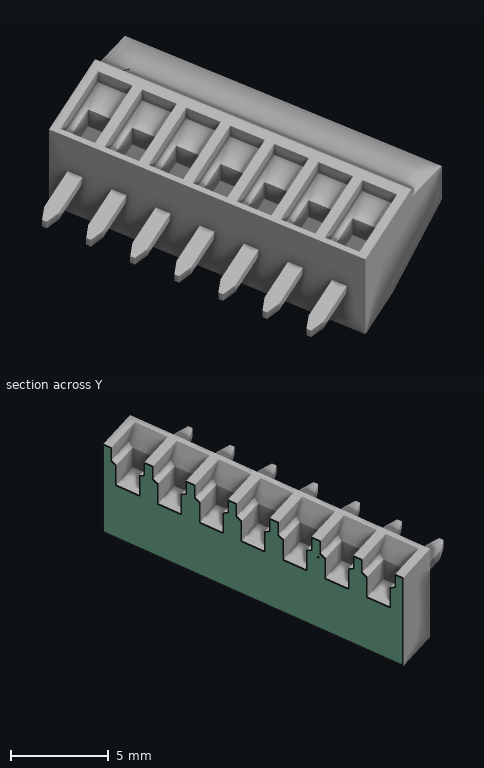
import cadquery as cq
import math

POLES = 7
PITCH = 2.54
BODY_LENGTH = 18.23
BODY_HEIGHT = 6.27
BODY_DEPTH = 8.5

STEP_Y = 5.2
STEP_Z = 5.57
ROOF_ANGLE = 20.0
UNDERSIDE_FLAT = 3.0
UNDERSIDE_ANGLE = 15.5
EDGE_RADIUS = 0.2

PIN_WIDTH = 0.85
PIN_THICKNESS = 0.55
PIN_LENGTH = 3.4
PIN_TIP_WIDTH = 0.27
PIN_TAPER_LENGTH = 0.8
PIN_Z = BODY_HEIGHT / 2

MOUTH_WIDTH = 2.0
MOUTH_FRONT = 0.3
MOUTH_BACK = 4.47
MOUTH_DEPTH = 0.9
FUNNEL_DROP = 0.19
SHAFT_WIDTH = 1.4
SHAFT_FRONT = 1.0
SHAFT_BACK = 2.8
SHAFT_DEPTH = 2.5

MARK_WIDTH = 0.52
MARK_HEIGHT = 0.48
MARK_BASE_Y = 5.64
MARK_DEPTH = 0.1


def pole_positions():
    first = -PITCH * (POLES - 1) / 2
    return [first + PITCH * index for index in range(POLES)]


def roof_z(y):
    return STEP_Z - (y - STEP_Y) * math.tan(math.radians(ROOF_ANGLE))


def make_housing():
    underside_rise = (BODY_DEPTH - UNDERSIDE_FLAT) * math.tan(math.radians(UNDERSIDE_ANGLE))
    outline = [
        (0, 0),
        (UNDERSIDE_FLAT, 0),
        (BODY_DEPTH, underside_rise),
        (BODY_DEPTH, roof_z(BODY_DEPTH)),
        (STEP_Y, STEP_Z),
        (STEP_Y, BODY_HEIGHT),
        (0, BODY_HEIGHT),
    ]
    housing = cq.Workplane("YZ").polyline(outline).close().extrude(BODY_LENGTH / 2, both=True)
    back_edges = housing.faces(">Y").edges("|X")
    step_edge = housing.faces(">Z").edges(">Y")
    return housing.newObject(back_edges.vals() + step_edge.vals()).edges().fillet(EDGE_RADIUS)


def rectangle(x_size, y_front, y_back, z):
    y_center = (y_front + y_back) / 2
    return cq.Workplane("XY", origin=(0, y_center, z)).rect(x_size, y_back - y_front)


def make_opening():
    funnel_top = BODY_HEIGHT - MOUTH_DEPTH
    shaft_top = funnel_top - FUNNEL_DROP
    shaft_floor = BODY_HEIGHT - SHAFT_DEPTH

    run_per_depth = (SHAFT_FRONT - MOUTH_FRONT) / (MOUTH_DEPTH + FUNNEL_DROP)
    funnel_front = MOUTH_FRONT + MOUTH_DEPTH * run_per_depth
    mouth_outline = [
        (MOUTH_FRONT, BODY_HEIGHT),
        (funnel_front, funnel_top),
        (MOUTH_BACK, funnel_top),
        (MOUTH_BACK, BODY_HEIGHT),
    ]
    mouth = cq.Workplane("YZ").polyline(mouth_outline).close().extrude(MOUTH_WIDTH / 2, both=True)
    funnel = (
        rectangle(MOUTH_WIDTH, funnel_front, MOUTH_BACK, funnel_top)
        .workplane(offset=-FUNNEL_DROP)
        .center(0, (SHAFT_FRONT + SHAFT_BACK - funnel_front - MOUTH_BACK) / 2)
        .rect(SHAFT_WIDTH, SHAFT_BACK - SHAFT_FRONT)
        .loft(ruled=True)
    )
    shaft = rectangle(SHAFT_WIDTH, SHAFT_FRONT, SHAFT_BACK, shaft_floor).extrude(shaft_top - shaft_floor)
    return mouth.union(funnel).union(shaft)


def make_pin():
    shoulder_y = PIN_TAPER_LENGTH - PIN_LENGTH
    outline = [
        (-PIN_WIDTH / 2, 0),
        (-PIN_WIDTH / 2, shoulder_y),
        (-PIN_TIP_WIDTH / 2, -PIN_LENGTH),
        (PIN_TIP_WIDTH / 2, -PIN_LENGTH),
        (PIN_WIDTH / 2, shoulder_y),
        (PIN_WIDTH / 2, 0),
    ]
    plane = cq.Workplane("XY", origin=(0, 0, PIN_Z))
    return plane.polyline(outline).close().extrude(PIN_THICKNESS / 2, both=True)


def make_mark(x):
    apex_y = MARK_BASE_Y + MARK_HEIGHT
    floor_outline = [
        (MARK_BASE_Y, roof_z(MARK_BASE_Y) - MARK_DEPTH),
        (apex_y, roof_z(apex_y) - MARK_DEPTH),
        (apex_y, BODY_HEIGHT),
        (MARK_BASE_Y, BODY_HEIGHT),
    ]
    above_floor = cq.Workplane("YZ", origin=(x, 0, 0)).polyline(floor_outline).close()
    triangle = [
        (x - MARK_WIDTH / 2, MARK_BASE_Y),
        (x + MARK_WIDTH / 2, MARK_BASE_Y),
        (x, apex_y),
    ]
    prism = cq.Workplane("XY").polyline(triangle).close().extrude(BODY_HEIGHT)
    return prism.intersect(above_floor.extrude(MARK_WIDTH, both=True))


result = make_housing().cut(make_mark(pole_positions()[0]))
opening = make_opening()
pin = make_pin()
for x in pole_positions():
    result = result.cut(opening.translate((x, 0, 0)))
    result = result.union(pin.translate((x, 0, 0)))